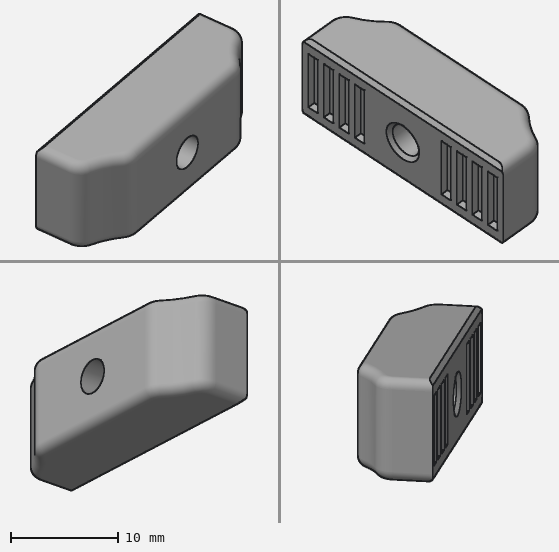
import cadquery as cq
import math

depth = 8.0
length = 26.0
height = 10.0

end_flat_depth = 3.85
front_flat_half = 7.8
corner_radius = 2.0
hollow_radius = 9.0

rim_fillet = 1.0
back_chamfer = 0.45

hole_diameter = 3.4
countersink_diameter = 4.25

slots_per_side = 4
slot_width = 1.2
slot_height = 6.8
slot_depth = 0.8
slot_pitch = 2.0
outer_slot_y = 11.6


def point_at(center, radius, angle):
    """Point on a circle at the given angle."""
    return (center[0] + radius * math.cos(angle), center[1] + radius * math.sin(angle))


def mirrored(point):
    """Reflect a profile point to the -Y end."""
    return (point[0], -point[1])


def make_body():
    """Extrude the shouldered profile; every arc meets its neighbours tangentially."""
    end_corner = (end_flat_depth, length / 2 - corner_radius)
    front_corner = (depth - corner_radius, front_flat_half)
    run = front_corner[0] - end_corner[0]
    drop = end_corner[1] - front_corner[1]

    half_spread = math.asin(math.hypot(run, drop) / 2 / (hollow_radius + corner_radius))
    middle_angle = math.atan2(run, drop)
    end_angle = middle_angle - half_spread
    front_angle = middle_angle + half_spread
    hollow_center = point_at(end_corner, corner_radius + hollow_radius, end_angle)

    end_start = (end_flat_depth, length / 2)
    end_mid = point_at(end_corner, corner_radius, (math.pi / 2 + end_angle) / 2)
    hollow_start = point_at(end_corner, corner_radius, end_angle)
    hollow_mid = point_at(hollow_center, hollow_radius, middle_angle + math.pi)
    hollow_end = point_at(front_corner, corner_radius, front_angle)
    front_mid = point_at(front_corner, corner_radius, front_angle / 2)
    front_start = (depth, front_flat_half)

    profile = (
        cq.Workplane("XY")
        .workplane(offset=-height / 2)
        .moveTo(0, length / 2)
        .lineTo(*end_start)
        .threePointArc(end_mid, hollow_start)
        .threePointArc(hollow_mid, hollow_end)
        .threePointArc(front_mid, front_start)
        .lineTo(*mirrored(front_start))
        .threePointArc(mirrored(front_mid), mirrored(hollow_end))
        .threePointArc(mirrored(hollow_mid), mirrored(hollow_start))
        .threePointArc(mirrored(end_mid), mirrored(end_start))
        .lineTo(0, -length / 2)
        .close()
    )
    return profile.extrude(height)


def round_and_chamfer(body):
    """Round the top and bottom rims, then chamfer the long back edges."""
    body = body.faces("<Z or >Z").edges("not <X").fillet(rim_fillet)
    section = [(0, height / 2), (back_chamfer, height / 2), (0, height / 2 - back_chamfer)]
    wedge = cq.Workplane("XZ").polyline(section).close().extrude(length / 2, both=True)
    return body.cut(wedge).cut(wedge.mirror("XY"))


def make_hole():
    """Through hole along X with a 45 degree countersink in the back face."""
    bore = cq.Workplane("YZ").circle(hole_diameter / 2).extrude(depth)
    sink_depth = (countersink_diameter - hole_diameter) / 2
    sink = (
        cq.Workplane("YZ")
        .circle(countersink_diameter / 2)
        .workplane(offset=sink_depth)
        .circle(hole_diameter / 2)
        .loft()
    )
    return bore.union(sink)


def make_slots():
    """Two mirrored rows of upright slots."""
    centers = []
    for index in range(slots_per_side):
        slot_y = outer_slot_y - index * slot_pitch
        centers += [(slot_y, 0), (-slot_y, 0)]
    return cq.Workplane("YZ").pushPoints(centers).rect(slot_width, slot_height).extrude(slot_depth)


result = round_and_chamfer(make_body()).cut(make_hole()).cut(make_slots())